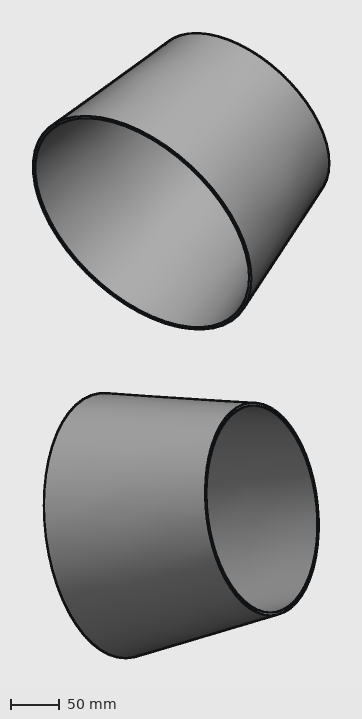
import cadquery as cq

wide_diameter = 273.0
narrow_diameter = 219.0
length = 178.0
wall = 3.0

wide_radius = wide_diameter / 2
narrow_radius = narrow_diameter / 2

wall_section = (
    cq.Workplane("XY")
    .moveTo(wide_radius - wall, 0)
    .lineTo(wide_radius, 0)
    .lineTo(narrow_radius, length)
    .lineTo(narrow_radius - wall, length)
    .close()
)

result = wall_section.revolve(360, (0, 0, 0), (0, 1, 0))